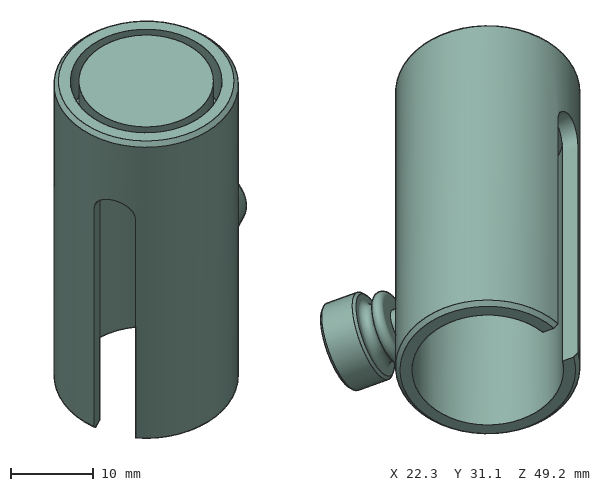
import cadquery as cq

HOUSING_HEIGHT = 49.2
HOUSING_DIAMETER = 22.3
HOUSING_RADIUS = HOUSING_DIAMETER / 2
BORE_RADIUS = 9.15
END_CHAMFER = 0.55

WEB_BOTTOM = 41.1
WEB_TOP = 42.65
BOSS_RADIUS = 8.1

SLOT_WIDTH = 5.35
SLOT_TOP = 39.25

KNOB_HEIGHT = 13.25
STEM_RADIUS = 2.15
STEM_END = BORE_RADIUS
BEAD_START = 12.05
BEAD_END = 13.6
BEAD_EDGE_RADIUS = 4.1
BEAD_RADIUS = 4.75
NECK_RADIUS = 3.7
NECK_HEAD_RADIUS = 4.45
HEAD_START = 15.15
OVERALL_DEPTH = 31.1
HEAD_END = OVERALL_DEPTH - HOUSING_RADIUS
HEAD_RADIUS = 5.6
HEAD_CHAMFER = 0.35


def upright_cylinder(radius, bottom, top):
    return cq.Workplane("XY").workplane(offset=bottom).circle(radius).extrude(top - bottom)


def front_slot():
    """Cutter for the slot, reaching from the axis out through the -Y wall."""
    half_width = SLOT_WIDTH / 2
    arc_start = SLOT_TOP - half_width
    return (
        cq.Workplane("XZ")
        .moveTo(-half_width, 0)
        .lineTo(-half_width, arc_start)
        .threePointArc((0, SLOT_TOP), (half_width, arc_start))
        .lineTo(half_width, 0)
        .close()
        .extrude(HOUSING_RADIUS)
    )


def stem_hole():
    """Cutter for the hole through the +Y wall that the knob stem fills."""
    return (
        cq.Workplane("XZ")
        .center(0, KNOB_HEIGHT)
        .circle(STEM_RADIUS)
        .extrude(-HOUSING_RADIUS)
    )


def make_housing():
    outside = upright_cylinder(HOUSING_RADIUS, 0, HOUSING_HEIGHT)
    outside = outside.faces("<Z or >Z").chamfer(END_CHAMFER)
    lower_bore = upright_cylinder(BORE_RADIUS, 0, WEB_BOTTOM)
    upper_bore = upright_cylinder(BORE_RADIUS, WEB_TOP, HOUSING_HEIGHT)
    boss = upright_cylinder(BOSS_RADIUS, WEB_TOP, HOUSING_HEIGHT)
    ring_groove = upper_bore.cut(boss)
    return outside.cut(lower_bore).cut(ring_groove).cut(front_slot()).cut(stem_hole())


def make_knob():
    """Stem, rounded bead, waisted neck and chamfered head, turned as one profile of radius against Y."""
    bead_middle = (BEAD_START + BEAD_END) / 2
    neck_middle = (BEAD_END + HEAD_START) / 2
    head_face_radius = HEAD_RADIUS - HEAD_CHAMFER
    return (
        cq.Workplane("XY")
        .moveTo(0, STEM_END)
        .lineTo(STEM_RADIUS, STEM_END)
        .lineTo(STEM_RADIUS, BEAD_START)
        .lineTo(BEAD_EDGE_RADIUS, BEAD_START)
        .threePointArc((BEAD_RADIUS, bead_middle), (BEAD_EDGE_RADIUS, BEAD_END))
        .threePointArc((NECK_RADIUS, neck_middle), (NECK_HEAD_RADIUS, HEAD_START))
        .lineTo(head_face_radius, HEAD_START)
        .lineTo(HEAD_RADIUS, HEAD_START + HEAD_CHAMFER)
        .lineTo(HEAD_RADIUS, HEAD_END - HEAD_CHAMFER)
        .lineTo(head_face_radius, HEAD_END)
        .lineTo(0, HEAD_END)
        .close()
        .revolve(360, (0, 0, 0), (0, 1, 0))
        .translate((0, 0, KNOB_HEIGHT))
    )


housing = make_housing()
knob = make_knob()

result = cq.Compound.makeCompound([housing.solids().val(), knob.solids().val()])